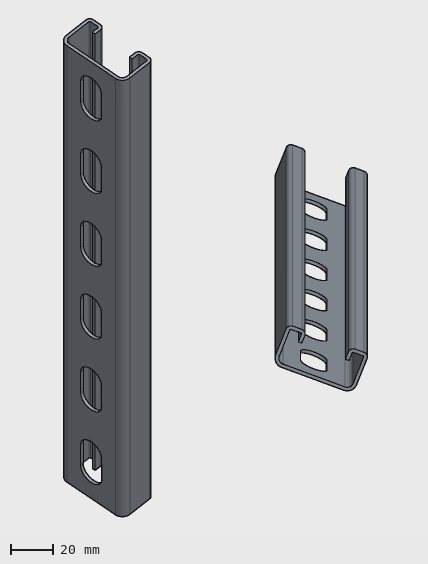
import cadquery as cq

width = 41.0
depth = 21.0
length = 300.0
thickness = 1.8

mouth_width = 22.2
lip_depth = 6.3

back_bend_radius = 4.8
front_bend_radius = 2.5

slot_count = 6
slot_pitch = length / slot_count
slot_width = 13.5
slot_length = 28.0

back_y = -depth / 2
front_y = depth / 2


def upright_block(x_size, y_min, y_max, x_center=0):
    """Full-length block between two Y positions, with Z from 0 to length."""
    return (
        cq.Workplane("XY")
        .center(x_center, (y_min + y_max) / 2)
        .rect(x_size, y_max - y_min)
        .extrude(length)
    )


def round_tube():
    """Closed rectangular tube with rounded back and front bends."""
    outside = upright_block(width, back_y, front_y)
    outside = outside.edges("|Z and <Y").fillet(back_bend_radius)
    outside = outside.edges("|Z and >Y").fillet(front_bend_radius)

    inside = upright_block(width - 2 * thickness, back_y + thickness, front_y - thickness)
    inside = inside.edges("|Z and <Y").fillet(back_bend_radius - thickness)
    inside = inside.edges("|Z and >Y").fillet(front_bend_radius - thickness)
    return outside.cut(inside)


def lip(side):
    """Inward lip on one side of the mouth; side is -1 or 1."""
    x_center = side * (mouth_width + thickness) / 2
    return upright_block(thickness, front_y - lip_depth, front_y, x_center)


def fillet_upright_edge(body, x, y, radius):
    """Round the full-length edge passing through (x, y)."""
    edge = cq.NearestToPointSelector((x, y, length / 2))
    return body.edges("|Z").edges(edge).fillet(radius)


def channel():
    """Open the tube's front, add the lips and round both sides of their bends."""
    body = round_tube().cut(upright_block(mouth_width, 0, front_y))
    for side in (-1, 1):
        body = body.union(lip(side))
        outer_x = side * mouth_width / 2
        inner_x = side * (mouth_width / 2 + thickness)
        body = fillet_upright_edge(body, outer_x, front_y, front_bend_radius)
        body = fillet_upright_edge(body, inner_x, front_y - thickness, front_bend_radius - thickness)
    return body


def slot_cutters():
    """Evenly spaced upright slots reaching through the back wall only."""
    slot_heights = [(i + 0.5) * slot_pitch for i in range(slot_count)]
    return (
        cq.Workplane("XZ", origin=(0, back_y + thickness, 0))
        .pushPoints([(0, height) for height in slot_heights])
        .slot2D(slot_length, slot_width, 90)
        .extrude(thickness)
    )


result = channel().cut(slot_cutters()).translate((0, 0, -length / 2))